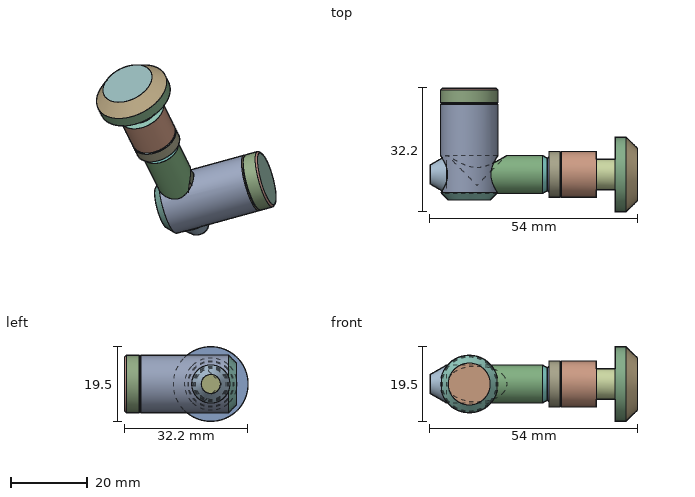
import cadquery as cq
import math


housing_radius = 7.5
housing_front = -6.7
housing_back = 22.45
front_chamfer = 2.05
back_chamfer = 0.5
housing_groove_start = 18.2
housing_groove_width = 0.5
housing_groove_depth = 0.3

total_length = 54.0
tip_x = -10.2
tip_radius = 2.5
shank_radius = 4.95
taper_angle = math.radians(30)
shank_end_x = 19.05
neck_radius = 4.3
neck_width = 0.15
shoulder_radius = 4.6
collar_start_x = 20.75
collar_end_x = 33.05
collar_radius = 6.0
collar_groove_start = 23.55
collar_groove_width = 0.45
collar_groove_depth = 0.2
stem_radius = 4.0
head_start_x = 37.95
head_rim_end_x = 40.75
head_diameter = 19.5
head_radius = head_diameter / 2
head_face_radius = 6.8

dimple_center_x = 2.0
dimple_radius = 7.8
dimple_half_angle = math.radians(45)


def taper_length(large_radius, small_radius):
    """Length of a cone of the shank taper angle between two radii."""
    return (large_radius - small_radius) / math.tan(taper_angle)


def make_housing():
    """Round barrel along Y with a V-shaped ring groove and a cross bore for the pin."""
    groove_floor = housing_radius - housing_groove_depth
    groove_end = housing_groove_start + housing_groove_width
    profile = [
        (0, housing_front),
        (housing_radius - front_chamfer, housing_front),
        (housing_radius, housing_front + front_chamfer),
        (housing_radius, housing_groove_start),
        (groove_floor, housing_groove_start + housing_groove_width / 2),
        (housing_radius, groove_end),
        (housing_radius, housing_back - back_chamfer),
        (housing_radius - back_chamfer, housing_back),
        (0, housing_back),
    ]
    barrel = cq.Workplane("XY").polyline(profile).close().revolve(360, (0, 0), (0, 1))
    bore = cq.Workplane("YZ").circle(shank_radius).extrude(housing_radius, both=True)
    return barrel.cut(bore)


def make_turned_pin():
    """Pin turned about X: conical tip, shank, neck, V-grooved collar, stem and head."""
    head_end_x = tip_x + total_length
    tip_end_x = tip_x + taper_length(shank_radius, tip_radius)
    neck_x = shank_end_x + taper_length(shank_radius, neck_radius)
    groove_floor = collar_radius - collar_groove_depth
    groove_end = collar_groove_start + collar_groove_width
    profile = [
        (tip_x, 0),
        (tip_x, tip_radius),
        (tip_end_x, shank_radius),
        (shank_end_x, shank_radius),
        (neck_x, neck_radius),
        (neck_x + neck_width, neck_radius),
        (collar_start_x, shoulder_radius),
        (collar_start_x, collar_radius),
        (collar_groove_start, collar_radius),
        (collar_groove_start + collar_groove_width / 2, groove_floor),
        (groove_end, collar_radius),
        (collar_end_x, collar_radius),
        (collar_end_x, stem_radius),
        (head_start_x, stem_radius),
        (head_start_x, head_radius),
        (head_rim_end_x, head_radius),
        (head_end_x, head_face_radius),
        (head_end_x, 0),
    ]
    return cq.Workplane("XY").polyline(profile).close().revolve(360, (0, 0), (1, 0))


def make_dimple_cutter():
    """Cone about a Y axis, with its base level with the +Y side of the shank."""
    depth = dimple_radius / math.tan(dimple_half_angle)
    base = cq.Vector(dimple_center_x, shank_radius, 0)
    return cq.Workplane(cq.Solid.makeCone(dimple_radius, 0, depth, base, cq.Vector(0, -1, 0)))


housing = make_housing()
pin = make_turned_pin().cut(make_dimple_cutter())

result = cq.Compound.makeCompound([housing.val(), pin.val()])